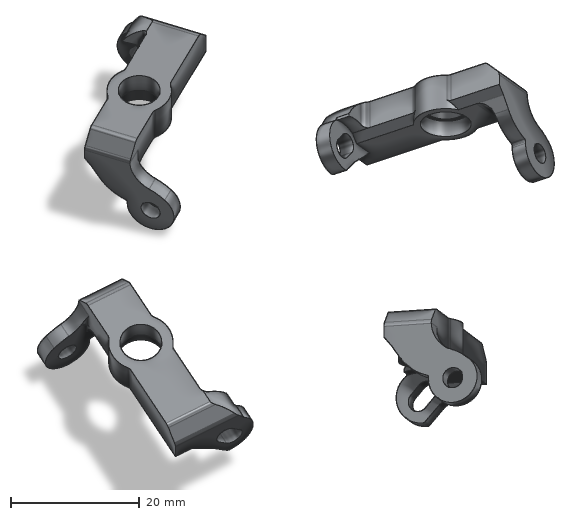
import cadquery as cq
import math


front_y = -12.75
back_y = front_y + 30.3
beam_half_width = 3.85
beam_depth = 5.97
beam_length = back_y - front_y
end_chamfer = 2.48
blend_radius = 1.0
edge_bevel_x = 1.15
edge_bevel_z = 1.33

boss_diameter = 10.05
bore_diameter = 6.5
seat_diameter = 7.9
shoulder_z = -3.25

plate_thickness = 2.55
lug_radius = 7.9 / 2
lug_x = 11.3 - lug_radius
lug_z = lug_radius - 15.8
lug_top_angle = 53
pin_diameter = 3.2
leg_inner_radius = 2.55
leg_corner_radius = 0.73
leg_right_shoulder_z = -2.82
leg_neck_z = -11.2
leg_neck_blend = 0.42

arm_lug_x, arm_lug_z = -5.85, -7.8
arm_lug_radius = 4.27
slot_length = 2.05
slot_angle = 48.5
arm_root_x = -4.05
arm_shoulder = (-8.48, -4.42)
arm_heel = (-5.55, -12.05)
arm_knee = (-3.1, -9.35)
arm_bottom_end_x = 0.95
heel_blend = 0.6
block_thickness = 4.82
block_tip_x = -8.12
pick_margin = 0.15


def along_y(profile, y_start, y_end):
    """Extrude an XZ profile between two Y positions."""
    return profile.extrude(-(y_end - y_start)).translate((0, y_start, 0))


def xz():
    return cq.Workplane("XZ")


def on_circle(cx, cz, radius, degrees):
    angle = math.radians(degrees)
    return (cx + radius * math.cos(angle), cz + radius * math.sin(angle))


def beam_outline(y_start, y_end):
    """Beam cross-section with its bevelled lower left edge."""
    profile = (
        xz()
        .moveTo(-beam_half_width, 0)
        .lineTo(beam_half_width, 0)
        .lineTo(beam_half_width, -beam_depth)
        .lineTo(-beam_half_width + edge_bevel_x, -beam_depth)
        .lineTo(-beam_half_width, -beam_depth + edge_bevel_z)
        .close()
    )
    return along_y(profile, y_start, y_end)


def beam_with_boss():
    boss = cq.Workplane("XY").circle(boss_diameter / 2).extrude(-beam_depth)
    body = beam_outline(front_y, back_y).union(boss)
    corner_y = math.sqrt((boss_diameter / 2) ** 2 - beam_half_width ** 2)
    for side in (-1, 1):
        for end in (-1, 1):
            x, y = side * beam_half_width, end * corner_y
            corner = cq.selectors.BoxSelector(
                (x - pick_margin, y - pick_margin, -beam_depth), (x + pick_margin, y + pick_margin, 0)
            )
            body = body.edges("|Z").edges(corner).fillet(blend_radius)
    return body


def leg():
    """Front leg: curved outline, rounded into the underside of the beam."""
    bevel_end = (-beam_half_width + edge_bevel_x, -beam_depth)
    lug_tangent = on_circle(lug_x, lug_z, lug_radius, lug_top_angle)
    neck_x = lug_x - lug_radius
    outline = (
        xz()
        .moveTo(-beam_half_width, 0)
        .lineTo(beam_half_width, 0)
        .lineTo(beam_half_width, leg_right_shoulder_z)
        .threePointArc((5.12, -5.95), (7.1, -7.25))
        .tangentArcPoint(lug_tangent, relative=False)
        .threePointArc((lug_x, lug_z - lug_radius), (neck_x, lug_z))
        .lineTo(neck_x, leg_neck_z)
        .threePointArc((0.6, -9.95), (-1.33, -7.95))
        .lineTo(*bevel_end)
        .lineTo(-beam_half_width, -beam_depth + edge_bevel_z)
        .close()
    )
    inner_y = front_y + plate_thickness
    solid = along_y(outline, front_y, inner_y + leg_inner_radius)
    neck = cq.selectors.BoxSelector(
        (neck_x - pick_margin, front_y, leg_neck_z - pick_margin),
        (neck_x + pick_margin, back_y, leg_neck_z + pick_margin),
    )
    solid = solid.edges("|Y").edges(neck).fillet(leg_neck_blend)

    plate = along_y(xz().rect(2 * beam_length, 2 * beam_length), front_y, inner_y)
    web = (
        cq.Workplane("YZ")
        .moveTo(front_y, 0)
        .lineTo(inner_y + leg_inner_radius, 0)
        .lineTo(inner_y + leg_inner_radius, -beam_depth)
        .radiusArc((inner_y, -beam_depth - leg_inner_radius), -leg_inner_radius)
        .lineTo(front_y, -beam_depth - leg_inner_radius)
        .close()
        .extrude(beam_half_width, both=True)
    )
    corner = (
        cq.Workplane("XY")
        .moveTo(beam_half_width, inner_y)
        .lineTo(beam_half_width + leg_corner_radius, inner_y)
        .radiusArc((beam_half_width, inner_y + leg_corner_radius), leg_corner_radius)
        .close()
        .extrude(-beam_depth)
    )
    return solid.intersect(plate.union(web).union(corner))


def upper_arm_edge(start):
    """Arm outline from the shoulder up to the top face."""
    return start.threePointArc((-5.97, -1.27), (arm_root_x, 0))


def arm():
    lower = (
        upper_arm_edge(xz().moveTo(*arm_shoulder))
        .lineTo(arm_bottom_end_x, 0)
        .lineTo(arm_bottom_end_x, -beam_depth)
        .lineTo(*arm_knee)
        .lineTo(*arm_heel)
        .threePointArc((arm_lug_x - arm_lug_radius, arm_lug_z), arm_shoulder)
        .close()
    )
    plate = along_y(lower, back_y - plate_thickness, back_y)
    heel = cq.selectors.BoxSelector(
        (arm_heel[0] - pick_margin, front_y, arm_heel[1] - pick_margin),
        (arm_heel[0] + pick_margin, back_y + pick_margin, arm_heel[1] + pick_margin),
    )
    plate = plate.edges("|Y").edges(heel).fillet(heel_blend)

    block_profile = (
        upper_arm_edge(xz().moveTo(*arm_shoulder))
        .lineTo(0, 0)
        .lineTo(0, -beam_depth + edge_bevel_z)
        .lineTo(-beam_half_width, -beam_depth + edge_bevel_z)
        .threePointArc((-6.03, -4.03), (-7.9, -4.18))
        .close()
    )
    block_y = back_y - block_thickness
    block = along_y(block_profile, block_y - blend_radius, back_y)
    footprint = (
        cq.Workplane("XY")
        .moveTo(block_tip_x, back_y)
        .lineTo(block_tip_x, block_y)
        .lineTo(-beam_half_width - blend_radius, block_y)
        .radiusArc((-beam_half_width, block_y - blend_radius), blend_radius)
        .lineTo(0, block_y - blend_radius)
        .lineTo(0, back_y)
        .close()
        .extrude(-beam_depth)
    )
    return plate.union(block.intersect(footprint))


def end_envelope():
    """Side profile with both top ends bevelled and softened."""
    low = lug_z - 2 * lug_radius
    return (
        cq.Workplane("YZ")
        .moveTo(front_y, low)
        .lineTo(front_y, -end_chamfer)
        .lineTo(front_y + end_chamfer, 0)
        .lineTo(back_y - end_chamfer, 0)
        .lineTo(back_y, -end_chamfer)
        .lineTo(back_y, low)
        .close()
        .extrude(beam_length, both=True)
        .edges("|X and (not <Z)")
        .fillet(blend_radius)
    )


def bores():
    main = cq.Workplane("XY").circle(bore_diameter / 2).extrude(-beam_depth)
    seat = (
        cq.Workplane("XY", origin=(0, 0, shoulder_z))
        .circle(seat_diameter / 2)
        .extrude(-beam_depth)
    )
    pin = along_y(
        xz().center(lug_x, lug_z).circle(pin_diameter / 2),
        front_y, front_y + plate_thickness,
    )
    slot = along_y(
        xz()
        .center(arm_lug_x, arm_lug_z)
        .slot2D(slot_length + pin_diameter, pin_diameter, slot_angle),
        back_y - plate_thickness, back_y,
    )
    return main, seat, pin, slot


result = beam_with_boss().union(leg()).union(arm()).intersect(end_envelope())
for bore in bores():
    result = result.cut(bore)